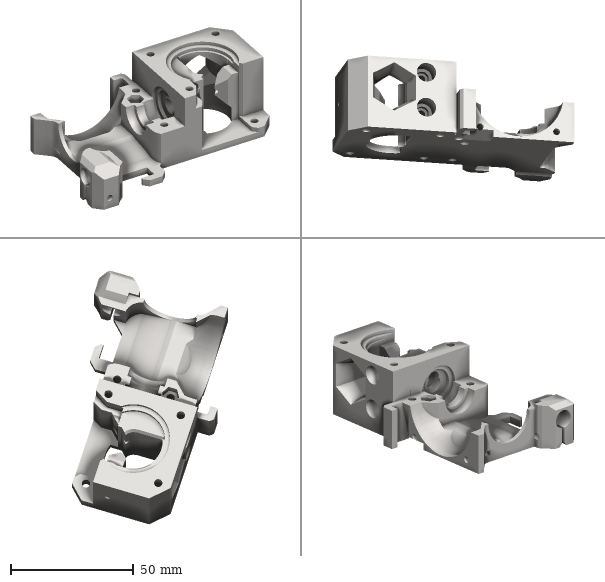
import cadquery as cq
import math


BLOCK_HALF = 21.0
BLOCK_BACK_Y = 23.0
BLOCK_HEIGHT = 30.5
BLOCK_LEFT_CHAMFER = 7.0
BLOCK_RIGHT_CHAMFER = 6.0
MOTOR_SCREW_SPACING = 31.0
SCREW_DIAMETER = 3.4

SHAFT_BORE_RADIUS = 12.0
POCKET_STEPS = ((15.0, 1.5), (13.0, 3.0))
GUIDE_FLAT_Y = -4.4
GUIDE_CHAMFER = 1.0
DRIVE_GEAR_RADIUS = 4.3

FILAMENT_X = 4.0
FILAMENT_Z = 17.0
FILAMENT_DIAMETER = 2.2

IDLER_X = 8.0
IDLER_BACK_Y = 12.1
IDLER_FLOOR_Z = 3.0
IDLER_CORNER_X = 10.1
IDLER_CORNER_FLOOR_Z = 5.0
IDLER_LEDGE_Z = 24.0
GUIDE_TIP_X = 3.8
GUIDE_TIP_Y = -1.8
LEDGE_Y = -10.5
LEDGE_END_X = 17.0
LEDGE_FLARE_Y = -12.7
IDLER_FRONT_Y = -12.1
IDLER_FRONT_END_X = 15.1
IDLER_FRONT_FLARE_Y = -15.75
TOOTH_Z = 17.5
TOOTH_HALF_HEIGHT = 8.0

CRADLE_HEIGHT = FILAMENT_Z
CRADLE_LEFT_X = -18.45
GROOVE_FRONT_Y = -34.1
WALL_BACK_Y = -62.7
WALL_FRONT_Y = -64.4
FAN_WALL_END_Y = -71.0
WALL_END_X = 22.0
PLATE_THICKNESS = 3.0
CHAMBER_LEFT_X = -7.8
CHAMBER_FLOOR_Z = 6.4
HEATSINK_BORE_DIAMETER = 22.6

MOUNT_FLANGE_DIAMETER = 16.0
MOUNT_NECK_DIAMETER = 12.2
MOUNT_NECK_BACK_Y = -26.6
MOUNT_NECK_FRONT_Y = -30.2
MOUNT_CONE_BACK_Y = -24.7
MOUNT_CONE_SMALL_DIAMETER = 15.2

FAN_Y = -47.5
FAN_Z = 20.0
FAN_SCREW_SPACING = 32.0
FAN_SCREW_DIAMETER = 2.8
FAN_SCREW_END_X = -6.1
FAN_MOUTH_RADIUS = 19.0
DUCT_OUTLET_HALF = 13.4
DUCT_BOWL_X = -16.7
DUCT_RAMP_X = -9.8
DUCT_RAMP_RADIUS = 17.7
DUCT_OUTLET_X = -5.6
DUCT_OUTLET_RADIUS = 15.2

CLAMP_HEIGHT = 19.0
CLAMP_X = 27.0
CLAMP_Z = 12.0
CLAMP_BORE_DIAMETER = 8.0
CLAMP_SLIT = 1.3
CLAMP_SCREW_Y = -65.7
CLAMP_SCREW_Z = 4.9
CLAMP_SCREW_DIAMETER = 2.8
CLAMP_LEFT_X = 17.9
CLAMP_RIGHT_X = 36.0
CLAMP_FRONT_Y = -72.0
CLAMP_BACK_Y = -56.9
CLAMP_TOP_CHAMFER = 4.5
CLAMP_SLIT_FLARE_WIDTH = 3.9
CLAMP_SLIT_FLARE_HEIGHT = 1.5

CLEAR = 1.0


def prism(points, z_low, z_high):
    """Vertical prism over a closed XY polygon."""
    outline = cq.Workplane("XY").workplane(offset=z_low).polyline(points).close()
    return outline.extrude(z_high - z_low)


def box(x_range, y_range, z_range):
    (x0, x1), (y0, y1), (z0, z1) = x_range, y_range, z_range
    return cq.Workplane("XY").box(x1 - x0, y1 - y0, z1 - z0, centered=False).translate((x0, y0, z0))


def cylinder_z(x, y, radius, z_low, z_high):
    return cq.Workplane("XY", origin=(x, y, z_low)).circle(radius).extrude(z_high - z_low)


def cylinder_x(y, z, radius, x_low, x_high):
    return cq.Workplane("YZ", origin=(x_low, y, z)).circle(radius).extrude(x_high - x_low)


def cylinder_y(x, z, radius, y_low, y_high):
    return cq.Workplane("XZ", origin=(x, y_high, z)).circle(radius).extrude(y_high - y_low)


def cone_y(x, z, radius_back, radius_front, y_back, y_front):
    """Cone along Y, from radius_back at y_back towards -Y."""
    solid = cq.Solid.makeCone(
        radius_back, radius_front, y_back - y_front, cq.Vector(x, y_back, z), cq.Vector(0, -1, 0)
    )
    return cq.Workplane(obj=solid)


def motor_block():
    right_chamfer_y = BLOCK_BACK_Y - BLOCK_RIGHT_CHAMFER
    outline = [
        (-BLOCK_HALF, -BLOCK_HALF),
        (BLOCK_HALF, -BLOCK_HALF),
        (BLOCK_HALF, right_chamfer_y),
        (BLOCK_HALF - BLOCK_RIGHT_CHAMFER, BLOCK_BACK_Y),
        (-BLOCK_HALF + BLOCK_LEFT_CHAMFER, BLOCK_BACK_Y),
        (-BLOCK_HALF, BLOCK_BACK_Y - BLOCK_LEFT_CHAMFER),
    ]
    return prism(outline, 0, BLOCK_HEIGHT)


def motor_pocket():
    """Stepped motor recess, and the shaft bore with a flat filament guide on its -Y side."""
    guide_top = BLOCK_HEIGHT - POCKET_STEPS[-1][1]
    top = BLOCK_HEIGHT + CLEAR
    bore = cylinder_z(0, 0, SHAFT_BORE_RADIUS, -CLEAR, top)
    guide_region = box(
        (-SHAFT_BORE_RADIUS, SHAFT_BORE_RADIUS),
        (-SHAFT_BORE_RADIUS - CLEAR, GUIDE_FLAT_Y),
        (-CLEAR, guide_top),
    )
    chamfer_wedge = (
        cq.Workplane("YZ", origin=(-SHAFT_BORE_RADIUS, 0, 0))
        .polyline([
            (GUIDE_FLAT_Y, guide_top - GUIDE_CHAMFER),
            (GUIDE_FLAT_Y, guide_top),
            (GUIDE_FLAT_Y - GUIDE_CHAMFER, guide_top),
        ])
        .close()
        .extrude(SHAFT_BORE_RADIUS)
    )
    point = prism(
        [
            (0, GUIDE_FLAT_Y),
            (0, GUIDE_TIP_Y),
            (GUIDE_TIP_X, GUIDE_TIP_Y),
            (GUIDE_TIP_X + GUIDE_TIP_Y - GUIDE_FLAT_Y, GUIDE_FLAT_Y),
        ],
        -CLEAR,
        guide_top,
    ).cut(cylinder_z(0, 0, DRIVE_GEAR_RADIUS, -2 * CLEAR, top))
    gear_chamfer = cq.Workplane(obj=cq.Solid.makeCone(
        DRIVE_GEAR_RADIUS, DRIVE_GEAR_RADIUS + GUIDE_CHAMFER, GUIDE_CHAMFER,
        cq.Vector(0, 0, guide_top - GUIDE_CHAMFER),
    ))
    cutter = bore.cut(guide_region).cut(point).union(chamfer_wedge).union(gear_chamfer)
    for radius, depth in POCKET_STEPS:
        cutter = cutter.union(cylinder_z(0, 0, radius, BLOCK_HEIGHT - depth, top))
    return cutter


def idler_opening():
    """Opening through the +X side, with a lower back corner and a ledge on its -Y side."""
    top = BLOCK_HEIGHT + CLEAR
    far = BLOCK_HALF + CLEAR
    guide_end_y = GUIDE_TIP_Y - (IDLER_X - GUIDE_TIP_X)
    ledge_x = GUIDE_TIP_X + GUIDE_TIP_Y - LEDGE_Y
    slot = prism(
        [
            (IDLER_X, IDLER_BACK_Y),
            (IDLER_X, guide_end_y),
            (ledge_x, LEDGE_Y),
            (LEDGE_END_X, LEDGE_Y),
            (BLOCK_HALF, LEDGE_FLARE_Y),
            (far, LEDGE_FLARE_Y),
            (far, IDLER_BACK_Y),
        ],
        IDLER_FLOOR_Z,
        top,
    )
    ledge = prism(
        [
            (IDLER_X, guide_end_y),
            (IDLER_X, IDLER_FRONT_Y),
            (IDLER_FRONT_END_X, IDLER_FRONT_Y),
            (BLOCK_HALF, IDLER_FRONT_FLARE_Y),
            (far, IDLER_FRONT_FLARE_Y),
            (far, guide_end_y),
        ],
        IDLER_LEDGE_Z,
        top,
    )
    corner = prism(
        [
            (IDLER_X + 0.9, IDLER_BACK_Y),
            (IDLER_CORNER_X, IDLER_BACK_Y + 1.1),
            (IDLER_CORNER_X, BLOCK_BACK_Y + CLEAR),
            (far, BLOCK_BACK_Y + CLEAR),
            (far, IDLER_BACK_Y),
        ],
        IDLER_CORNER_FLOOR_Z,
        top,
    )
    corner_chamfer = prism(
        [(19.0, IDLER_BACK_Y), (BLOCK_HALF, IDLER_BACK_Y + 2.0), (far, IDLER_BACK_Y)],
        IDLER_FLOOR_Z,
        top,
    )
    back_face = box((0, IDLER_X), (0, IDLER_BACK_Y), (TOOTH_Z - TOOTH_HALF_HEIGHT, top))
    return slot.union(ledge).union(corner).union(corner_chamfer).union(back_face)


def inlet_tooth():
    """Pointed block on the back wall that brings the filament close to the drive gear."""
    left, right, tip_y = 1.05, 8.05, 3.35
    root_y = IDLER_BACK_Y + 2.0
    bevel_y = 9.1
    mid_z, half_height = TOOTH_Z, TOOTH_HALF_HEIGHT
    plan = prism(
        [(left, root_y), (left, 6.4), (FILAMENT_X + 0.1, tip_y), (right, 7.3), (right, root_y)],
        mid_z - half_height,
        mid_z + half_height,
    )
    side = (
        cq.Workplane("YZ", origin=(left, 0, 0))
        .polyline([
            (root_y, mid_z - half_height),
            (bevel_y, mid_z - half_height),
            (tip_y, mid_z - half_height + bevel_y - tip_y),
            (tip_y, mid_z + half_height - bevel_y + tip_y),
            (bevel_y, mid_z + half_height),
            (root_y, mid_z + half_height),
        ])
        .close()
        .extrude(right - left)
    )
    return plan.intersect(side)


def hex_window():
    """Hexagonal funnel through the -X wall into the shaft bore."""
    y, z = 5.0, 18.0
    outer_flats, inner_flats, funnel_depth = 18.0, 13.8, 7.0

    def hexagon(flats):
        radius = flats / math.sqrt(3)
        corners = [math.radians(30 + 60 * i) for i in range(6)]
        return [(radius * math.cos(a), radius * math.sin(a)) for a in corners]

    funnel = (
        cq.Workplane("YZ", origin=(-BLOCK_HALF, y, z))
        .polyline(hexagon(outer_flats))
        .close()
        .workplane(offset=funnel_depth)
        .polyline(hexagon(inner_flats))
        .close()
        .loft(ruled=True)
    )
    throat = (
        cq.Workplane("YZ", origin=(-BLOCK_HALF + funnel_depth, y, z))
        .polyline(hexagon(inner_flats))
        .close()
        .extrude(BLOCK_HALF - funnel_depth)
    )
    return funnel.union(throat)


def idler_screw_holes():
    """Two stepped spring-screw holes along X."""
    y, mid_z, spacing = -8.45, 17.5, 15.0
    cutter = cq.Workplane("XY")
    for z in (mid_z - spacing / 2, mid_z + spacing / 2):
        for diameter, depth in ((8.0, 8.0), (5.4, 10.0), (3.3, 2 * BLOCK_HALF + CLEAR)):
            cutter = cutter.add(
                cylinder_x(y, z, diameter / 2, -BLOCK_HALF - CLEAR, -BLOCK_HALF + depth)
            )
    return cutter.combine()


def motor_screw_holes():
    half = MOTOR_SCREW_SPACING / 2
    points = [(x, y) for x in (-half, half) for y in (-half, half)]
    hole = cq.Workplane("XY", origin=(0, 0, -CLEAR)).pushPoints(points)
    return hole.circle(SCREW_DIAMETER / 2).extrude(BLOCK_HEIGHT + 2 * CLEAR)


def filament_path():
    """Filament hole, stepped hot-end seat and the inclined tube socket behind it."""
    x, z = FILAMENT_X, FILAMENT_Z
    seat_depth, seat_radius = 1.5, 9.0
    step_depth, step_radius = 3.0, 7.0
    cone_length, cone_small_radius, cone_large_radius = 3.0, 2.1, 3.6
    socket_length, socket_rise, socket_radius, socket_end_radius = 8.0, 2.6, 3.0, 2.8
    step_y = -BLOCK_HALF + step_depth
    hole = cylinder_y(x, z, FILAMENT_DIAMETER / 2, -BLOCK_HALF, BLOCK_BACK_Y + CLEAR)
    seat = cylinder_y(x, z, seat_radius, -BLOCK_HALF, -BLOCK_HALF + seat_depth)
    seat_step = cylinder_y(x, z, step_radius, -BLOCK_HALF, step_y)
    tube_cone = cone_y(x, z, cone_small_radius, cone_large_radius, step_y + cone_length, step_y)
    socket = (
        cq.Workplane("XZ", origin=(x, step_y, z + socket_rise))
        .circle(socket_radius)
        .workplane(offset=-socket_length)
        .center(0, -socket_rise)
        .circle(socket_end_radius)
        .loft()
    )
    return hole.union(seat).union(seat_step).union(tube_cone).union(socket)


def face_slit():
    """Thin slit in the front face of the block, just above the cradle."""
    x, width, height, depth = -11.5, 0.3, 2.7, 1.0
    return box(
        (x - width / 2, x + width / 2),
        (-BLOCK_HALF, -BLOCK_HALF + depth),
        (CRADLE_HEIGHT, CRADLE_HEIGHT + height),
    )


def groove_mount():
    """Half-round bed for the hot end, with a chamfered flange seat and a narrow neck."""
    x, z = FILAMENT_X, FILAMENT_Z
    flange = MOUNT_FLANGE_DIAMETER / 2
    cutter = cylinder_y(x, z, flange, MOUNT_CONE_BACK_Y, -BLOCK_HALF)
    cone = cone_y(x, z, flange, MOUNT_CONE_SMALL_DIAMETER / 2, MOUNT_CONE_BACK_Y, MOUNT_NECK_BACK_Y)
    neck = cylinder_y(x, z, MOUNT_NECK_DIAMETER / 2, MOUNT_NECK_FRONT_Y - CLEAR, MOUNT_NECK_BACK_Y + CLEAR)
    front = cylinder_y(x, z, flange, GROOVE_FRONT_Y - CLEAR, MOUNT_NECK_FRONT_Y)
    return cutter.union(cone).union(neck).union(front)


def cradle():
    """Low body in front of the block, with the thin fan wall and front wall."""
    outline = (
        cq.Workplane("XY")
        .moveTo(CRADLE_LEFT_X, -BLOCK_HALF)
        .lineTo(CRADLE_LEFT_X, FAN_WALL_END_Y)
        .lineTo(-15.45, FAN_WALL_END_Y)
        .lineTo(-12.3, -67.5)
        .lineTo(-10.8, -66.0)
        .threePointArc((-9.6, -64.95), (-8.0, WALL_FRONT_Y))
        .lineTo(WALL_END_X, WALL_FRONT_Y)
        .lineTo(WALL_END_X, CLAMP_BACK_Y)
        .lineTo(BLOCK_HALF, CLAMP_BACK_Y)
        .lineTo(BLOCK_HALF, -BLOCK_HALF)
        .close()
    )
    return outline.extrude(CRADLE_HEIGHT)


def heatsink_chamber():
    """Space between the groove mount and the front wall, above a falling floor."""
    top = CRADLE_HEIGHT + CLEAR
    plan = (
        cq.Workplane("XY")
        .moveTo(CHAMBER_LEFT_X, GROOVE_FRONT_Y)
        .lineTo(16.5, GROOVE_FRONT_Y)
        .threePointArc((19.0, -33.6), (BLOCK_HALF, -32.4))
        .lineTo(BLOCK_HALF, -57.3)
        .threePointArc((18.8, -61.0), (15.5, WALL_BACK_Y))
        .lineTo(CHAMBER_LEFT_X, WALL_BACK_Y)
        .close()
        .extrude(top)
    )
    section = (
        cq.Workplane("XZ", origin=(0, -BLOCK_HALF, 0))
        .moveTo(CHAMBER_LEFT_X, top)
        .lineTo(CHAMBER_LEFT_X, CHAMBER_FLOOR_Z)
        .lineTo(1.05, CHAMBER_FLOOR_Z)
        .lineTo(3.5, 5.7)
        .threePointArc((9.7, 4.8), (15.5, 3.4))
        .lineTo(BLOCK_HALF, PLATE_THICKNESS)
        .lineTo(BLOCK_HALF, top)
        .close()
        .extrude(-WALL_FRONT_Y)
    )
    return plan.intersect(section)


def heatsink_bore():
    return cylinder_y(
        FILAMENT_X, FILAMENT_Z, HEATSINK_BORE_DIAMETER / 2, WALL_FRONT_Y - CLEAR, WALL_BACK_Y
    )


def fan_duct():
    """Round fan mouth that closes in as a bowl, trimmed by sloping planes at its sides and bottom."""
    start = CRADLE_LEFT_X - CLEAR
    bowl = (
        cq.Workplane("XY")
        .moveTo(start, 0)
        .lineTo(start, FAN_MOUTH_RADIUS)
        .lineTo(DUCT_BOWL_X, FAN_MOUTH_RADIUS)
        .threePointArc((DUCT_RAMP_X, DUCT_RAMP_RADIUS), (DUCT_OUTLET_X, DUCT_OUTLET_RADIUS))
        .lineTo(DUCT_OUTLET_X, 0)
        .close()
        .revolve(360, (0, 0, 0), (1, 0, 0))
        .translate((0, FAN_Y, FAN_Z))
    )
    reach = FAN_MOUTH_RADIUS + CLEAR
    side_start_x = CHAMBER_LEFT_X - (reach - DUCT_OUTLET_HALF)
    sides = prism(
        [
            (start, FAN_Y - reach),
            (side_start_x, FAN_Y - reach),
            (CHAMBER_LEFT_X, FAN_Y - DUCT_OUTLET_HALF),
            (DUCT_OUTLET_X, FAN_Y - DUCT_OUTLET_HALF),
            (DUCT_OUTLET_X, FAN_Y + DUCT_OUTLET_HALF),
            (CHAMBER_LEFT_X, FAN_Y + DUCT_OUTLET_HALF),
            (side_start_x, FAN_Y + reach),
            (start, FAN_Y + reach),
        ],
        FAN_Z - reach,
        FAN_Z + reach,
    )
    ramp_low_z = FAN_Z - reach
    ramp = (
        cq.Workplane("XZ", origin=(0, FAN_Y + reach, 0))
        .polyline([
            (DUCT_OUTLET_X, CHAMBER_FLOOR_Z),
            (DUCT_OUTLET_X - (CHAMBER_FLOOR_Z - ramp_low_z), ramp_low_z),
            (DUCT_OUTLET_X, ramp_low_z),
        ])
        .close()
        .extrude(2 * reach)
    )
    return bowl.intersect(sides).cut(ramp)


def fan_screw_holes():
    z = FAN_Z - FAN_SCREW_SPACING / 2
    radius = FAN_SCREW_DIAMETER / 2
    cutter = cq.Workplane("XY")
    for side in (-1, 1):
        y = FAN_Y + side * FAN_SCREW_SPACING / 2
        cutter = cutter.add(cylinder_x(y, z, radius, CRADLE_LEFT_X - CLEAR, FAN_SCREW_END_X))
    return cutter.combine()


def cable_channel():
    """Sloping recess beside the left hook that runs into a notch in the lower edge of the fan wall."""
    back, channel_front, notch_front = -23.8, -27.9, -37.0
    notch_height, notch_depth, channel_depth = 2.9, 6.0, 3.1
    channel = (
        cq.Workplane("XZ", origin=(CRADLE_LEFT_X, back, 0))
        .polyline([(0, CRADLE_HEIGHT), (channel_depth, notch_height), (channel_depth, 0), (0, 0)])
        .close()
        .extrude(back - channel_front)
    )
    notch = (
        cq.Workplane("XZ", origin=(CRADLE_LEFT_X, back, 0))
        .polyline([(0, notch_height), (notch_depth, 0), (0, 0)])
        .close()
        .extrude(back - notch_front)
    )
    return channel.union(notch)


def cradle_screw_holes():
    """Three vertical screw holes, one of them with a nut trap."""
    top = CRADLE_HEIGHT + CLEAR
    nut_x, screw_y = -7.4, -27.5
    nut_corners, nut_depth, nut_taper = 6.7, 3.5, 4.0
    cutter = cq.Workplane("XY", origin=(nut_x, screw_y, CRADLE_HEIGHT - nut_depth))
    cutter = cutter.polygon(6, nut_corners).extrude(nut_depth, taper=-nut_taper)
    for x, y in ((-13.0, -23.9), (nut_x, screw_y), (MOTOR_SCREW_SPACING / 2, screw_y)):
        cutter = cutter.union(cylinder_z(x, y, SCREW_DIAMETER / 2, -CLEAR, top))
    return cutter


def left_hook():
    back, front, inner_x = -21.3, -23.8, -24.4
    return prism(
        [
            (CRADLE_LEFT_X + CLEAR, back),
            (-26.0, back),
            (-27.5, back - 1.3),
            (-27.5, -27.75),
            (inner_x, -27.75),
            (inner_x, front - 0.6),
            (inner_x + 0.6, front),
            (CRADLE_LEFT_X + CLEAR, front),
        ],
        0,
        CRADLE_HEIGHT,
    )


def right_hook():
    back, front, inner_x, outer_x, end_y = -34.0, -39.1, 26.95, 30.1, -45.2
    return prism(
        [
            (BLOCK_HALF - CLEAR, -32.3),
            (BLOCK_HALF, -32.3),
            (22.8, back),
            (27.0, back),
            (outer_x, back - 3.1),
            (outer_x, end_y + 2.1),
            (outer_x - 2.1, end_y),
            (inner_x, end_y),
            (inner_x, front),
            (BLOCK_HALF - CLEAR, front),
        ],
        0,
        PLATE_THICKNESS,
    )


def clamp_gusset():
    size = 6.0
    return prism(
        [
            (BLOCK_HALF, CLAMP_BACK_Y + size - CLEAR),
            (BLOCK_HALF + size, CLAMP_BACK_Y - CLEAR),
            (BLOCK_HALF, CLAMP_BACK_Y - CLEAR),
        ],
        0,
        PLATE_THICKNESS,
    )


def probe_clamp():
    """Block with a bore along Y, slit open to the bottom."""
    left = WALL_END_X
    body = prism(
        [
            (left, CLAMP_BACK_Y),
            (31.5, CLAMP_BACK_Y),
            (33.3, -59.1),
            (CLAMP_RIGHT_X, -61.5),
            (CLAMP_RIGHT_X, -68.5),
            (32.4, CLAMP_FRONT_Y),
            (22.8, CLAMP_FRONT_Y),
            (18.9, -68.1),
            (CLAMP_LEFT_X, -66.4),
            (CLAMP_LEFT_X, WALL_FRONT_Y),
            (left, WALL_FRONT_Y),
        ],
        0,
        CLAMP_HEIGHT,
    )
    side = (
        cq.Workplane("YZ")
        .polyline([
            (CLAMP_BACK_Y, 0),
            (CLAMP_BACK_Y, CRADLE_HEIGHT),
            (-59.9, CRADLE_HEIGHT),
            (-62.8, CLAMP_HEIGHT),
            (-69.9, CLAMP_HEIGHT),
            (CLAMP_FRONT_Y, CRADLE_HEIGHT),
            (CLAMP_FRONT_Y, 0),
        ])
        .close()
        .extrude(CLAMP_RIGHT_X)
    )
    top_chamfer = (
        cq.Workplane("XZ", origin=(0, CLAMP_BACK_Y, 0))
        .polyline([
            (CLAMP_RIGHT_X - CLAMP_TOP_CHAMFER, CLAMP_HEIGHT),
            (CLAMP_RIGHT_X, CLAMP_HEIGHT),
            (CLAMP_RIGHT_X, CLAMP_HEIGHT - CLAMP_TOP_CHAMFER),
        ])
        .close()
        .extrude(CLAMP_BACK_Y - CLAMP_FRONT_Y)
    )
    return body.intersect(side).cut(top_chamfer)


def clamp_bore():
    """Probe bore with a slit that flares out at the bottom, and the pinch screw across the slit."""
    front, back = CLAMP_FRONT_Y - CLEAR, CLAMP_BACK_Y
    bore = cylinder_y(CLAMP_X, CLAMP_Z, CLAMP_BORE_DIAMETER / 2, front, back)
    half_slit = CLAMP_SLIT / 2
    half_flare = CLAMP_SLIT_FLARE_WIDTH / 2
    slit = (
        cq.Workplane("XZ", origin=(CLAMP_X, back, 0))
        .polyline([
            (-half_flare, 0),
            (-half_slit, CLAMP_SLIT_FLARE_HEIGHT),
            (-half_slit, CLAMP_Z),
            (half_slit, CLAMP_Z),
            (half_slit, CLAMP_SLIT_FLARE_HEIGHT),
            (half_flare, 0),
        ])
        .close()
        .extrude(back - front)
    )
    screw_radius = CLAMP_SCREW_DIAMETER / 2
    screw_end_x = CLAMP_RIGHT_X + CLEAR
    screw = cylinder_x(CLAMP_SCREW_Y, CLAMP_SCREW_Z, screw_radius, CLAMP_LEFT_X, screw_end_x)
    return bore.union(slit).union(screw)


block = motor_block().cut(motor_pocket()).cut(idler_opening()).union(inlet_tooth())
lower = cradle().cut(heatsink_chamber()).cut(fan_duct()).cut(heatsink_bore())

result = block.union(lower)
for addition in (left_hook(), right_hook(), clamp_gusset(), probe_clamp()):
    result = result.union(addition)
for cutter in (
    hex_window(),
    idler_screw_holes(),
    motor_screw_holes(),
    filament_path(),
    face_slit(),
    groove_mount(),
    fan_screw_holes(),
    cable_channel(),
    cradle_screw_holes(),
    clamp_bore(),
):
    result = result.cut(cutter)